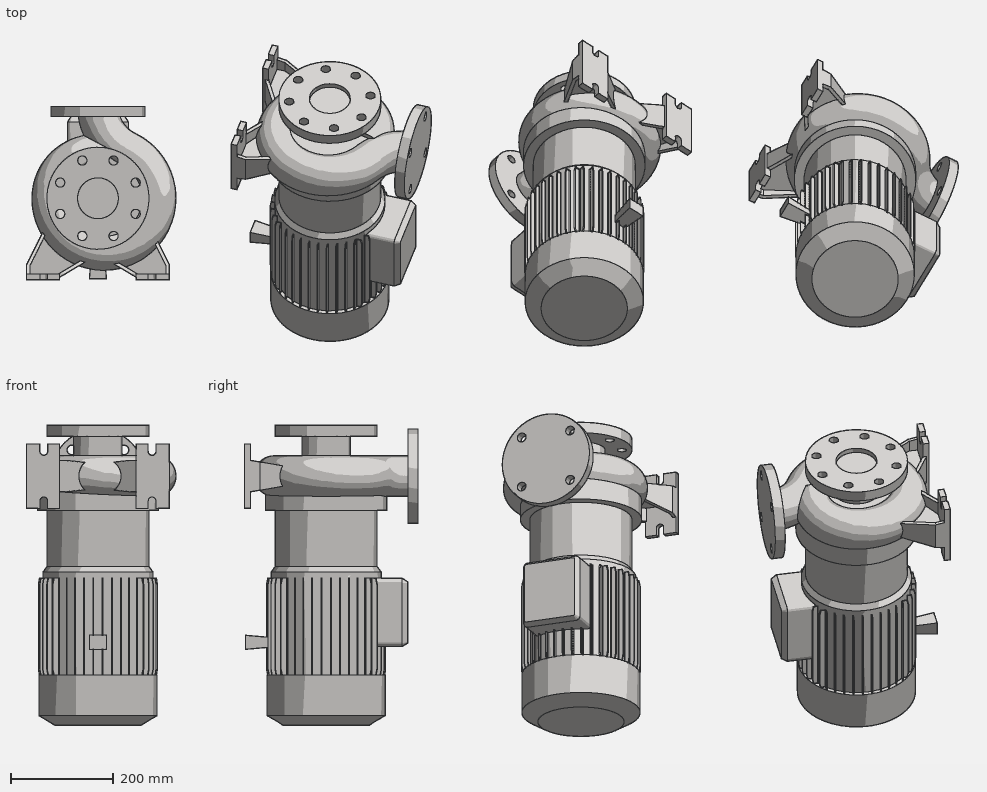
import cadquery as cq
import math


SUCTION_FACE_Z = 100.0
SUCTION_FLANGE_DIA = 200.0
SUCTION_FLANGE_THICKNESS = 22.0
SUCTION_BOLT_CIRCLE_DIA = 160.0
SUCTION_BOLT_COUNT = 8
SUCTION_BORE_DIA = 80.0
SUCTION_BORE_DEPTH = 10.0
SUCTION_NECK_DIA = 95.0

DISCHARGE_FACE_Y = 180.0
DISCHARGE_FLANGE_DIA = 185.0
DISCHARGE_FLANGE_THICKNESS = 20.0
DISCHARGE_BOLT_CIRCLE_DIA = 145.0
DISCHARGE_BOLT_COUNT = 4
BOLT_HOLE_DIA = 18.0

TUBE_RADIUS = 40.0
VOLUTE_RIGHT_X = 113.0
VOLUTE_LEFT_X = -89.5
TONGUE_ARC_RADIUS = 85.0
TONGUE_SWEEP = 105.0
CORE_RADIUS = 95.0
CORE_TOP_Z = 30.0

BACKPLATE_RADIUS = 119.0
BACKPLATE_BOTTOM_Z = -67.0
LANTERN_RADIUS = 100.0
LANTERN_BOTTOM_Z = -177.0
MOTOR_RADIUS = 108.0
MOTOR_SHOULDER_Z = -188.0
FIN_TOP_Z = -200.0
FIN_BOTTOM_Z = -390.0
COWL_RADIUS = 116.0
COWL_CONE_Z = -469.0
COWL_END_RADIUS = 84.5
BOTTOM_Z = -488.0

FIN_TIP_RADIUS = 117.0
FIN_ROOT_RADIUS = 90.0
FIN_THICKNESS = 1.8
FIN_COUNT = 40
FIN_SIDES = 4
FIN_BEVEL_INSET = 2.0
FIN_BEVEL_HEIGHT = 12.0

BOX_WIDTH = 120.0
BOX_FACE_Y = 160.0
BOX_TOP_Z = -200.0
BOX_BOTTOM_Z = -334.0
BOX_EDGE_RADIUS = 10.0
BOX_BEVEL_DEPTH = 11.0
BOX_BEVEL_INSET = 7.0

STUD_FACE_Y = -158.0
STUD_WIDTH = 34.0
STUD_HEIGHT = 28.0
STUD_CENTRE_Z = -325.5
STUD_LENGTH = 55.0
STUD_DRAFT = 5.0

FOOT_BASE_Y = -160.0
FOOT_THICKNESS = 12.0
FOOT_OUTER_X = 140.0
FOOT_INNER_X = 75.0
FOOT_HALF_HEIGHT = 63.0
FOOT_SLOT_X = 106.0
FOOT_SLOT_WIDTH = 15.0
FOOT_SLOT_END_Z = 41.0
RIB_THICKNESS = 7.0
RIB_KNEE_Y = -130.0
RIB_OUTER_TIP = (100.0, -50.0)
RIB_INNER_TIP = (20.0, -122.0)
RIB_ROOT_HALF_HEIGHT = 31.0
RIB_TIP_HALF_HEIGHT = 14.0
WEB_THICKNESS = 8.0


def bolt_holes(circle_dia, count, depth):
    """Cutter for evenly spaced bolt holes straddling the axes, drilled from Z = 0 down."""
    half_pitch = 180.0 / count
    return (
        cq.Workplane("XY")
        .polarArray(circle_dia / 2, half_pitch, 360, count)
        .circle(BOLT_HOLE_DIA / 2)
        .extrude(-depth)
    )


def make_suction():
    flange = cq.Workplane("XY").circle(SUCTION_FLANGE_DIA / 2).extrude(-SUCTION_FLANGE_THICKNESS)
    flange = flange.cut(bolt_holes(SUCTION_BOLT_CIRCLE_DIA, SUCTION_BOLT_COUNT, SUCTION_FLANGE_THICKNESS))
    neck = cq.Workplane("XY").circle(SUCTION_NECK_DIA / 2).extrude(-SUCTION_FACE_Z)
    bore = cq.Workplane("XY").circle(SUCTION_BORE_DIA / 2).extrude(-SUCTION_BORE_DEPTH)
    return flange.union(neck).cut(bore).translate((0, 0, SUCTION_FACE_Z))


def make_discharge_flange():
    flange = cq.Workplane("XY").circle(DISCHARGE_FLANGE_DIA / 2).extrude(-DISCHARGE_FLANGE_THICKNESS)
    flange = flange.cut(
        bolt_holes(DISCHARGE_BOLT_CIRCLE_DIA, DISCHARGE_BOLT_COUNT, DISCHARGE_FLANGE_THICKNESS)
    )
    return flange.rotate((0, 0, 0), (1, 0, 0), -90).translate((0, DISCHARGE_FACE_Y, 0))


def bent_tube(centre_x, centre_y, bend_radius, start_angle, sweep_angle):
    """Round tube bent about a vertical axis, counter-clockwise from start_angle."""
    tube = (
        cq.Workplane("XZ")
        .center(bend_radius, 0)
        .circle(TUBE_RADIUS)
        .revolve(sweep_angle, (-bend_radius, 0, 0), (-bend_radius, 1, 0))
    )
    return tube.rotate((0, 0, 0), (0, 0, 1), start_angle).translate((centre_x, centre_y, 0))


def make_volute():
    main_centre_x = (VOLUTE_RIGHT_X + VOLUTE_LEFT_X) / 2
    main_radius = (VOLUTE_RIGHT_X - VOLUTE_LEFT_X) / 2

    centre_distance = (VOLUTE_RIGHT_X ** 2 + DISCHARGE_FACE_Y ** 2) / (2 * VOLUTE_RIGHT_X)
    outlet_radius = centre_distance - main_radius
    outlet_angle = math.degrees(math.asin(DISCHARGE_FACE_Y / centre_distance))

    main = bent_tube(main_centre_x, 0, main_radius, 180, 180 + outlet_angle)
    outlet = bent_tube(outlet_radius, DISCHARGE_FACE_Y, outlet_radius, 180, outlet_angle)
    tongue_centre_x = VOLUTE_LEFT_X + TONGUE_ARC_RADIUS
    tongue = bent_tube(tongue_centre_x, 0, TONGUE_ARC_RADIUS, 180 - TONGUE_SWEEP, TONGUE_SWEEP)
    core = (
        cq.Workplane("XY", origin=(0, 0, BACKPLATE_BOTTOM_Z))
        .circle(CORE_RADIUS)
        .extrude(CORE_TOP_Z - BACKPLATE_BOTTOM_Z)
    )
    return core.union(main).union(outlet).union(tongue)


def make_drive_body():
    """Backplate, lantern, motor housing and fan cowl as one turned profile."""
    profile = [
        (0, 0),
        (BACKPLATE_RADIUS, 0),
        (BACKPLATE_RADIUS, BACKPLATE_BOTTOM_Z),
        (LANTERN_RADIUS, BACKPLATE_BOTTOM_Z),
        (LANTERN_RADIUS, LANTERN_BOTTOM_Z),
        (MOTOR_RADIUS, MOTOR_SHOULDER_Z),
        (MOTOR_RADIUS, FIN_BOTTOM_Z),
        (COWL_RADIUS, FIN_BOTTOM_Z),
        (COWL_RADIUS, COWL_CONE_Z),
        (COWL_END_RADIUS, BOTTOM_Z),
        (0, BOTTOM_Z),
    ]
    return cq.Workplane("XZ").polyline(profile).close().revolve(360, (0, 0, 0), (0, 1, 0))


def make_fin_envelope():
    """Turned solid that trims the fin tips round, with bevelled ends."""
    profile = [
        (0, FIN_BOTTOM_Z),
        (FIN_TIP_RADIUS - FIN_BEVEL_INSET, FIN_BOTTOM_Z),
        (FIN_TIP_RADIUS, FIN_BOTTOM_Z + FIN_BEVEL_HEIGHT),
        (FIN_TIP_RADIUS, FIN_TOP_Z - FIN_BEVEL_HEIGHT),
        (FIN_TIP_RADIUS - FIN_BEVEL_INSET, FIN_TOP_Z),
        (0, FIN_TOP_Z),
    ]
    return cq.Workplane("XZ").polyline(profile).close().revolve(360, (0, 0, 0), (0, 1, 0))


def make_fin(angle):
    """Fin on the +X side, parallel to X, that meets the tip circle at the given angle."""
    fin_y = FIN_TIP_RADIUS * math.sin(math.radians(angle))
    root_x = FIN_ROOT_RADIUS * math.cos(math.radians(angle))
    fin = cq.Workplane("XY").box(
        FIN_TIP_RADIUS - root_x, FIN_THICKNESS, FIN_TOP_Z - FIN_BOTTOM_Z, centered=(False, True, False)
    )
    return fin.translate((root_x, fin_y, FIN_BOTTOM_Z))


def make_fin_side():
    """The parallel fins of the +X quarter, evenly spaced round the tip circle."""
    pitch = 360.0 / FIN_COUNT
    fins_per_side = FIN_COUNT // FIN_SIDES
    fins = []
    for index in range(fins_per_side):
        fins.append(make_fin((index - (fins_per_side - 1) / 2) * pitch).val())
    fin_group = cq.Workplane(obj=cq.Compound.makeCompound(fins))
    return fin_group.intersect(make_fin_envelope())


def add_fins(body):
    fin_side = make_fin_side()
    for side in range(FIN_SIDES):
        body = body.union(fin_side.rotate((0, 0, 0), (0, 0, 1), side * 360.0 / FIN_SIDES))
    return body


def make_terminal_box():
    height = BOX_TOP_Z - BOX_BOTTOM_Z
    box_centre = (0, 0, (BOX_TOP_Z + BOX_BOTTOM_Z) / 2)
    bevel_angle = math.degrees(math.atan2(BOX_BEVEL_INSET, BOX_BEVEL_DEPTH))
    section = cq.Sketch().rect(BOX_WIDTH, height).vertices().fillet(BOX_EDGE_RADIUS)
    bevel_start = BOX_FACE_Y - BOX_BEVEL_DEPTH
    box = cq.Workplane("XZ", origin=box_centre).placeSketch(section).extrude(-bevel_start)
    lid = (
        cq.Workplane("XZ", origin=box_centre)
        .workplane(offset=-bevel_start)
        .placeSketch(section)
        .extrude(-BOX_BEVEL_DEPTH, taper=bevel_angle)
    )
    return box.union(lid)


def make_stud():
    """Support stud on the motor, tapering from its outer end toward the motor."""
    return (
        cq.Workplane("XZ", origin=(0, STUD_FACE_Y, STUD_CENTRE_Z))
        .rect(STUD_WIDTH, STUD_HEIGHT)
        .extrude(-STUD_LENGTH, taper=STUD_DRAFT)
    )


def make_foot_pad():
    width = FOOT_OUTER_X - FOOT_INNER_X
    pad = cq.Workplane("XY").box(width, FOOT_THICKNESS, 2 * FOOT_HALF_HEIGHT, centered=(False, False, True))
    pad = pad.translate((FOOT_INNER_X, FOOT_BASE_Y, 0))
    slot_length = 2 * FOOT_HALF_HEIGHT
    for side in (1, -1):
        slot_centre_z = side * (FOOT_SLOT_END_Z + slot_length / 2)
        slot = (
            cq.Workplane("XZ", origin=(FOOT_SLOT_X, FOOT_BASE_Y, slot_centre_z))
            .slot2D(slot_length, FOOT_SLOT_WIDTH, 90)
            .extrude(-FOOT_THICKNESS)
        )
        pad = pad.cut(slot)
    return pad


def foot_plan():
    """Plan outline of a foot bracket, rooted inside the pad."""
    root_y = FOOT_BASE_Y + FOOT_THICKNESS - RIB_THICKNESS
    corners = [
        (FOOT_INNER_X, root_y),
        (FOOT_OUTER_X, root_y),
        (FOOT_OUTER_X, RIB_KNEE_Y),
        RIB_OUTER_TIP,
        RIB_INNER_TIP,
    ]
    return cq.Workplane("XY").polyline(corners).close()


def make_foot_bracket():
    """Two ribs joined by a web, getting lower from the pad toward the volute."""
    pad_back_y = FOOT_BASE_Y + FOOT_THICKNESS
    block = foot_plan().extrude(RIB_ROOT_HALF_HEIGHT, both=True)
    pocket = foot_plan().offset2D(-RIB_THICKNESS).extrude(RIB_ROOT_HALF_HEIGHT, both=True)
    web = foot_plan().extrude(WEB_THICKNESS / 2, both=True)
    side_profile = [
        (FOOT_BASE_Y, -RIB_ROOT_HALF_HEIGHT),
        (FOOT_BASE_Y, RIB_ROOT_HALF_HEIGHT),
        (pad_back_y, RIB_ROOT_HALF_HEIGHT),
        (RIB_OUTER_TIP[1], RIB_TIP_HALF_HEIGHT),
        (RIB_OUTER_TIP[1], -RIB_TIP_HALF_HEIGHT),
        (pad_back_y, -RIB_ROOT_HALF_HEIGHT),
    ]
    side_taper = cq.Workplane("YZ").polyline(side_profile).close().extrude(FOOT_OUTER_X)
    return block.cut(pocket).union(web).intersect(side_taper)


def make_feet():
    foot = make_foot_pad().union(make_foot_bracket())
    return foot.union(foot.mirror("YZ"))


drive = add_fins(make_drive_body())
drive = drive.union(make_terminal_box()).union(make_stud())
pump = make_volute().union(make_suction()).union(make_discharge_flange()).union(make_feet())
result = drive.union(pump)